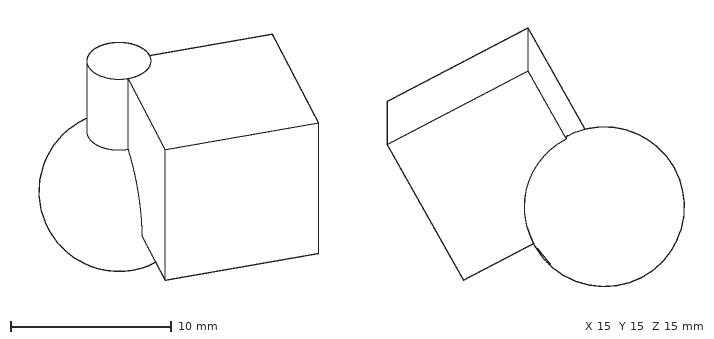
import cadquery as cq

block_size = 10.0
ball_radius = 5.0
stem_diameter = 4.0
stem_length = block_size


def make_stem():
    """Round pin along Z, starting at the ball centre."""
    return cq.Workplane("XY").circle(stem_diameter / 2).extrude(stem_length)


def make_ball(stem):
    """Ball with a blind hole that holds the stem."""
    return cq.Workplane("XY").sphere(ball_radius).cut(stem)


def make_block(ball, stem):
    """Cube in the positive octant, with its corner recessed around the ball and stem."""
    cube = cq.Workplane("XY").box(block_size, block_size, block_size, centered=False)
    return cube.cut(stem).cut(ball)


stem = make_stem()
ball = make_ball(stem)
block = make_block(ball, stem)

result = cq.Compound.makeCompound([*stem.solids().vals(), *ball.solids().vals(), *block.solids().vals()])